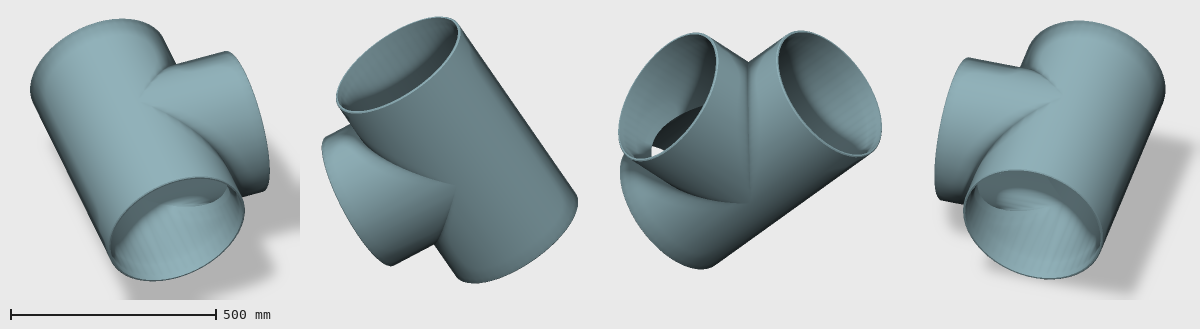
import cadquery as cq

run_length = 559.0
outer_diameter = 355.5
wall = 6.0
bevel = 2.0

center_to_end = run_length / 2
outer_radius = outer_diameter / 2
inner_radius = outer_radius - wall
land_radius = outer_radius - bevel


def beveled_arm(direction):
    """Solid arm from the tee center, with a bevel narrowing its open end."""
    profile = [
        (0, 0),
        (outer_radius, 0),
        (outer_radius, center_to_end - bevel),
        (land_radius, center_to_end),
        (0, center_to_end),
    ]
    arm = cq.Workplane("XY").polyline(profile).close().revolve(360, (0, 0, 0), (0, 1, 0))
    return arm.rotate((0, 0, 0), (0, 0, 1), direction)


def bore(length, start, direction):
    """Cylinder of the bore size, along Y before it is turned about Z."""
    cylinder = cq.Solid.makeCylinder(inner_radius, length, cq.Vector(0, start, 0), cq.Vector(0, 1, 0))
    return cq.Workplane(cylinder).rotate((0, 0, 0), (0, 0, 1), direction)


branch_turn = 0
left_turn = 90
right_turn = -90

body = beveled_arm(left_turn).union(beveled_arm(right_turn)).union(beveled_arm(branch_turn))
run_bore = bore(run_length, -center_to_end, right_turn)
branch_bore = bore(center_to_end, 0, branch_turn)

result = body.cut(run_bore).cut(branch_bore)